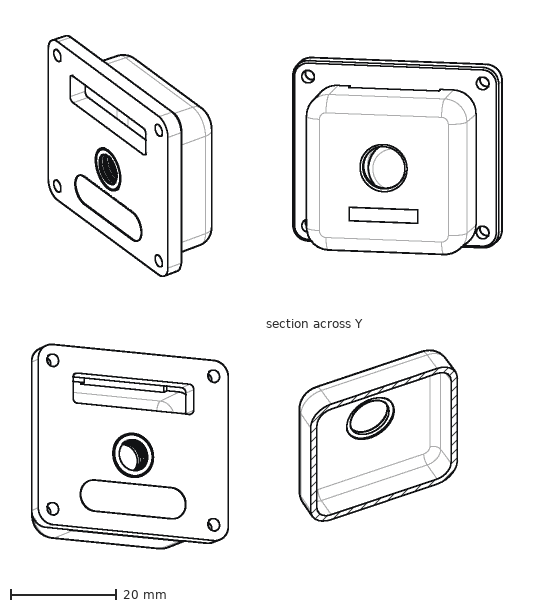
import cadquery as cq
import math


PLATE_WIDTH = 40.1
PLATE_HEIGHT = 35.1
PLATE_THICKNESS = 3.5
PLATE_CORNER_RADIUS = 3.1
PLATE_REAR_CHAMFER = 0.4
SCREW_HOLE_RADIUS = 1.2
DRAFT_ANGLE = 1.0

SLOT_WIDTH = 25.45
SLOT_BOTTOM = 6.58
SLOT_TOP = 12.45
SLOT_CORNER_RADIUS = 0.92

LABEL_LENGTH = 22.2
LABEL_HEIGHT = 6.05
LABEL_Z = -11.07
LABEL_DEPTH = 0.2

BOSS_RADIUS = 5.0
BOSS_HEIGHT = 2.0
BOSS_ROOT_FILLET = 0.5
BOSS_RIM_FILLET = 1.0
INSERT_Z = -2.5
INSERT_RADIUS = 4.25
INSERT_LENGTH = 4.5
INSERT_CHAMFER = 0.3
THREAD_CREST_RADIUS = 2.95
THREAD_ROOT_RADIUS = 3.15
THREAD_PITCH = 1.3
THREAD_TURNS = 3

CASE_WIDTH = 31.37
CASE_TOP = 13.0
CASE_BOTTOM = -17.5
CASE_REAR = 14.72
CASE_CORNER_RADIUS = 4.45
CASE_REAR_FILLET = 3.0
WALL = 1.45

NOTCH_WIDTH = 17.5
NOTCH_DEPTH = 1.5

LENS_Z = -0.5
LENS_RADIUS = 4.1
LENS_MOUTH_RADIUS = 4.57
LENS_MOUTH_DEPTH = 0.32
LENS_SEAT_RADIUS = 5.0
LENS_SEAT_DEPTH = 0.32

NAMEPLATE_WIDTH = 13.3
NAMEPLATE_HEIGHT = 2.6
NAMEPLATE_Z = -9.63
NAMEPLATE_RISE = 0.15


def at_depth(y, z=0.0):
    """Workplane facing the front (-Y) at depth y, centred on X = 0 and the given Z."""
    return cq.Workplane("XZ", origin=(0, y, z))


def turned(profile, z):
    """Solid of revolution about a Y-parallel axis at height z, from a profile in the XY plane."""
    return profile.close().revolve(360, (0, 0, 0), (0, 1, 0)).translate((0, 0, z))


def drafted_block(width, height, corner_radius, front, rear, z):
    """Rounded block, full size at its front and tapered by the draft towards its rear."""
    shrink = (rear - front) * math.tan(math.radians(DRAFT_ANGLE))
    outline = cq.Sketch().rect(width - 2 * shrink, height - 2 * shrink)
    outline = outline.vertices().fillet(corner_radius - shrink)
    return at_depth(rear, z).placeSketch(outline).extrude(rear - front, taper=-DRAFT_ANGLE)


def make_plate():
    plate = drafted_block(PLATE_WIDTH, PLATE_HEIGHT, PLATE_CORNER_RADIUS, 0, PLATE_THICKNESS, 0)
    plate = plate.faces(">Y").edges().chamfer(PLATE_REAR_CHAMFER)

    boss_rear = PLATE_THICKNESS + BOSS_HEIGHT
    boss_profile = (
        cq.Workplane("XY")
        .lineTo(BOSS_RADIUS + BOSS_ROOT_FILLET, 0)
        .lineTo(BOSS_RADIUS + BOSS_ROOT_FILLET, PLATE_THICKNESS)
        .radiusArc((BOSS_RADIUS, PLATE_THICKNESS + BOSS_ROOT_FILLET), BOSS_ROOT_FILLET)
        .lineTo(BOSS_RADIUS, boss_rear - BOSS_RIM_FILLET)
        .radiusArc((BOSS_RADIUS - BOSS_RIM_FILLET, boss_rear), -BOSS_RIM_FILLET)
        .lineTo(0, boss_rear)
    )
    boss = turned(boss_profile, INSERT_Z)
    plate = plate.union(boss)

    screw_pitch_x = PLATE_WIDTH - 2 * PLATE_CORNER_RADIUS
    screw_pitch_z = PLATE_HEIGHT - 2 * PLATE_CORNER_RADIUS
    screw_holes = (
        at_depth(PLATE_THICKNESS)
        .rarray(screw_pitch_x, screw_pitch_z, 2, 2)
        .circle(SCREW_HOLE_RADIUS)
        .extrude(PLATE_THICKNESS)
    )

    slot_height = SLOT_TOP - SLOT_BOTTOM
    slot_outline = cq.Sketch().rect(SLOT_WIDTH, slot_height).vertices().fillet(SLOT_CORNER_RADIUS)
    slot_z = (SLOT_TOP + SLOT_BOTTOM) / 2
    slot = at_depth(PLATE_THICKNESS, slot_z).placeSketch(slot_outline).extrude(PLATE_THICKNESS)

    label = at_depth(LABEL_DEPTH, LABEL_Z).slot2D(LABEL_LENGTH, LABEL_HEIGHT).extrude(LABEL_DEPTH)
    insert_pocket = at_depth(INSERT_LENGTH, INSERT_Z).circle(INSERT_RADIUS).extrude(INSERT_LENGTH)
    return plate.cut(screw_holes).cut(slot).cut(label).cut(insert_pocket)


def thread_groove(front):
    """Disc that cuts one trapezoidal ring groove into the bore of the insert."""
    step = THREAD_PITCH / 4
    profile = cq.Workplane("XY").polyline(
        [
            (0, front),
            (THREAD_CREST_RADIUS, front),
            (THREAD_ROOT_RADIUS, front + step),
            (THREAD_ROOT_RADIUS, front + 2 * step),
            (THREAD_CREST_RADIUS, front + 3 * step),
            (0, front + 3 * step),
        ]
    )
    return turned(profile, INSERT_Z)


def make_insert():
    """Chamfered sleeve with a bore cut by evenly spaced thread grooves."""
    profile = cq.Workplane("XY").polyline(
        [
            (THREAD_CREST_RADIUS, 0),
            (INSERT_RADIUS - INSERT_CHAMFER, 0),
            (INSERT_RADIUS, INSERT_CHAMFER),
            (INSERT_RADIUS, INSERT_LENGTH),
            (THREAD_CREST_RADIUS, INSERT_LENGTH),
        ]
    )
    insert = turned(profile, INSERT_Z)
    for turn in range(THREAD_TURNS):
        insert = insert.cut(thread_groove(turn * THREAD_PITCH))
    return insert


def make_case():
    height = CASE_TOP - CASE_BOTTOM
    middle_z = (CASE_TOP + CASE_BOTTOM) / 2
    inner_rear = CASE_REAR - WALL

    shell = drafted_block(CASE_WIDTH, height, CASE_CORNER_RADIUS, PLATE_THICKNESS, CASE_REAR, middle_z)
    shell = shell.faces(">Y").edges().fillet(CASE_REAR_FILLET)
    cavity = drafted_block(
        CASE_WIDTH - 2 * WALL,
        height - 2 * WALL,
        CASE_CORNER_RADIUS - WALL,
        PLATE_THICKNESS,
        inner_rear,
        middle_z,
    )
    cavity = cavity.faces(">Y").edges().fillet(CASE_REAR_FILLET - WALL)

    notch_height = 3 * WALL
    notch = (
        at_depth(PLATE_THICKNESS + NOTCH_DEPTH, CASE_TOP)
        .rect(NOTCH_WIDTH, notch_height)
        .extrude(NOTCH_DEPTH)
    )

    lens_profile = cq.Workplane("XY").polyline(
        [
            (0, inner_rear),
            (LENS_SEAT_RADIUS, inner_rear),
            (LENS_SEAT_RADIUS, inner_rear + LENS_SEAT_DEPTH),
            (LENS_RADIUS, inner_rear + LENS_SEAT_DEPTH),
            (LENS_RADIUS, CASE_REAR - LENS_MOUTH_DEPTH),
            (LENS_MOUTH_RADIUS, CASE_REAR),
            (0, CASE_REAR),
        ]
    )
    lens_opening = turned(lens_profile, LENS_Z)

    nameplate = (
        at_depth(CASE_REAR + NAMEPLATE_RISE, NAMEPLATE_Z)
        .rect(NAMEPLATE_WIDTH, NAMEPLATE_HEIGHT)
        .extrude(NAMEPLATE_RISE)
    )
    return shell.cut(cavity).cut(notch).cut(lens_opening).union(nameplate)


plate = make_plate()
insert = make_insert()
case = make_case()

result = cq.Compound.makeCompound([plate.val(), insert.val(), case.val()])